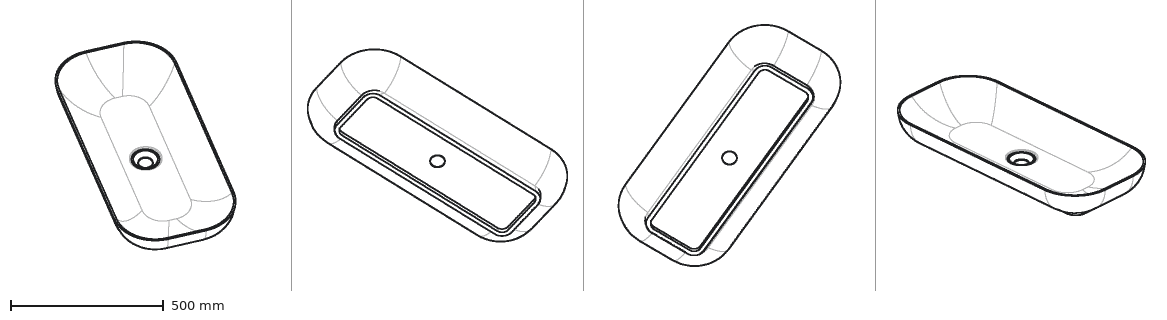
import cadquery as cq
import math

length = 900.0
width = 410.0
height = 122.55
rim_corner_radius = 140.0

belly_inset = 87.0
belly_bottom = 14.0
belly_radius = 119.0

foot_length = 720.0
foot_width = 220.0
foot_corner_radius = 40.0
foot_band_height = 3.5
flare_sections = 4

foot_wall = 15.0
recess_depth = 18.0

rim_width = 7.0
floor_height = 42.0
end_wall_run = 150.0
side_wall_run = 115.0
floor_corner_radius = 70.0
basin_sections = 5

drain_rim_radius = 54.0
drain_wall_radius = 50.0
drain_wall_angle = math.radians(45)
drain_seat_outer_radius = 46.0
drain_seat_inner_radius = 40.0
drain_hole_radius = 24.0
drain_hole_top = 21.6


def rounded_rectangle(size_x, size_y, radius, z):
    """Sketch of a rounded rectangle centred on the Z axis at height z."""
    sketch = cq.Sketch().rect(size_x, size_y).vertices().fillet(radius)
    return sketch.moved(cq.Location(cq.Vector(0, 0, z)))


def plate(size_x, size_y, radius, z, thickness):
    """Rounded rectangular plate whose underside is at height z."""
    return cq.Workplane("XY").placeSketch(rounded_rectangle(size_x, size_y, radius, z)).extrude(thickness)


def blend(start, end, fraction):
    """Value the given fraction of the way from start to end."""
    return start + (end - start) * fraction


core_length = length - 2 * belly_inset
core_width = width - 2 * belly_inset
core_corner_radius = rim_corner_radius - belly_inset


def core_path():
    """Wire of the core outline, starting at the middle of the -Y side."""
    end_x = core_length / 2
    side_y = core_width / 2
    straight_x = end_x - core_corner_radius
    straight_y = side_y - core_corner_radius
    return (
        cq.Workplane("XY", origin=(0, 0, belly_bottom))
        .moveTo(0, -side_y)
        .lineTo(straight_x, -side_y)
        .radiusArc((end_x, -straight_y), -core_corner_radius)
        .lineTo(end_x, straight_y)
        .radiusArc((straight_x, side_y), -core_corner_radius)
        .lineTo(-straight_x, side_y)
        .radiusArc((-end_x, straight_y), -core_corner_radius)
        .lineTo(-end_x, -straight_y)
        .radiusArc((-straight_x, -side_y), -core_corner_radius)
        .close()
    )


def outer_body():
    """Core plate with the curved outer wall swept round it."""
    core_height = height - belly_bottom
    core = plate(core_length, core_width, core_corner_radius, belly_bottom, core_height)
    rim_y = -width / 2
    core_y = -core_width / 2
    wall = (
        cq.Workplane("YZ")
        .moveTo(core_y, belly_bottom)
        .radiusArc((rim_y, height), belly_radius)
        .lineTo(core_y, height)
        .close()
        .sweep(core_path())
    )
    return core.union(wall)


def foot():
    """Straight band with a concave flare that widens to the outer wall."""
    band = plate(foot_length, foot_width, foot_corner_radius, 0, foot_band_height)
    sections = []
    for section in range(flare_sections):
        rise = section / (flare_sections - 1)
        spread = 1 - math.sqrt(1 - rise**2)
        sections.append(
            rounded_rectangle(
                blend(foot_length, core_length, spread),
                blend(foot_width, core_width, spread),
                blend(foot_corner_radius, core_corner_radius, spread),
                blend(foot_band_height, belly_bottom, rise),
            )
        )
    flare = cq.Workplane("XY").placeSketch(*sections).loft()
    return band.union(flare)


def foot_recess():
    """Cutting body of the hollow that leaves the foot as a standing ring."""
    recess_length = foot_length - 2 * foot_wall
    recess_width = foot_width - 2 * foot_wall
    return plate(recess_length, recess_width, foot_corner_radius - foot_wall, 0, recess_depth)


def basin():
    """Cutting body of the bowl: sections that grow from the floor to the rim along an arc."""
    depth = height - floor_height
    wall_radius = (end_wall_run**2 + depth**2) / (2 * depth)
    opening_length = length - 2 * rim_width
    opening_width = width - 2 * rim_width
    opening_corner_radius = rim_corner_radius - rim_width
    sections = []
    for section in range(basin_sections):
        spread = section / (basin_sections - 1)
        rise = wall_radius - math.sqrt(wall_radius**2 - (spread * end_wall_run) ** 2)
        sections.append(
            rounded_rectangle(
                blend(opening_length - 2 * end_wall_run, opening_length, spread),
                blend(opening_width - 2 * side_wall_run, opening_width, spread),
                blend(floor_corner_radius, opening_corner_radius, spread),
                floor_height + rise,
            )
        )
    return cq.Workplane("XY").placeSketch(*sections).loft()


def drain():
    """Cutting body of the drain: rounded edge, sloping wall, flat seat, funnel and through hole."""
    edge_run = drain_rim_radius - drain_wall_radius
    edge_drop = edge_run * math.tan(drain_wall_angle / 2)
    edge_radius = edge_run / math.sin(drain_wall_angle)
    wall_drop = (drain_wall_radius - drain_seat_outer_radius) * math.tan(drain_wall_angle)
    seat_height = floor_height - edge_drop - wall_drop
    return (
        cq.Workplane("XZ")
        .lineTo(drain_hole_radius, 0)
        .lineTo(drain_hole_radius, drain_hole_top)
        .lineTo(drain_seat_inner_radius, seat_height)
        .lineTo(drain_seat_outer_radius, seat_height)
        .lineTo(drain_wall_radius, floor_height - edge_drop)
        .radiusArc((drain_rim_radius, floor_height), edge_radius)
        .lineTo(0, floor_height)
        .close()
        .revolve(360, (0, 0, 0), (0, 1, 0))
    )


result = outer_body().union(foot()).cut(basin()).cut(foot_recess()).cut(drain())